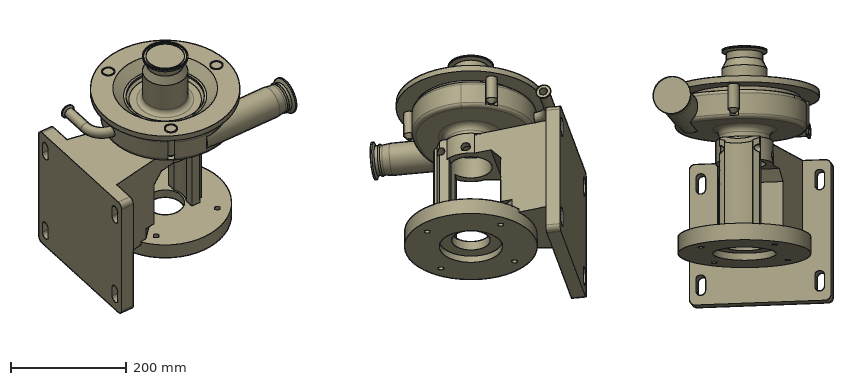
import cadquery as cq
import math


PLATE_SIZE = 250
PLATE_THICKNESS = 25
PLATE_CORNER_RADIUS = 10
PLATE_BACK_Y = -181
PLATE_FRONT_Y = PLATE_BACK_Y + PLATE_THICKNESS
SLOT_WIDTH = 17
SLOT_LENGTH = 36
SLOT_SPACING_X = 210
SLOT_SPACING_Z = 180

BASE_RADIUS = 115.5
BASE_BOTTOM_Z = 54
BASE_TOP_Z = 83.5
BASE_HOLE_RADIUS = 33.5
BASE_RECESS_RADIUS = 55
BASE_RECESS_DEPTH = 12.5
BASE_BOLT_RADIUS = 5
BASE_BOLT_CIRCLE_RADIUS = 92
BOLT_CLEARANCE_DEPTH = 20.5
BOLT_CLEARANCE_OUTER_X = 61
BOLT_CLEARANCE_HEIGHT = 21.5

HUB_RADIUS = 50
HUB_BORE_RADIUS = 37
HUB_BOTTOM_Z = 213
HUB_TOP_Z = 252.7
HUB_HOLE_RADIUS = 8
HUB_HOLE_Z = 226
WEB_PLATE_HALF_WIDTH = 75
WEB_HUB_HALF_WIDTH = 47.5
WEB_BOTTOM_Z = 77
WINDOW_FRONT_Y = -63.5
WINDOW_CHAMFER_Y = 18
WINDOW_CHAMFER_Z = 19.5
POST_INNER_Y = 32
POST_HALF_WIDTH = 35
POST_RADIUS = 60.5
RIB_HALF_WIDTH = 25
RIB_RADIUS = 65
POST_SLOPE_TOP_Y = 44.5
POST_SLOPE_BOTTOM_Z = 237
POST_HOLE_RADIUS = 7.3
POST_HOLE_Y = 47
POST_HOLE_Z = 230

CASING_BOTTOM_Z = 274
CASING_TOP_Z = 325
CASING_MID_Z = (CASING_BOTTOM_Z + CASING_TOP_Z) / 2
CASING_EDGE_RADIUS = 7
SPIRAL_START_RADIUS = 105
SPIRAL_STEP = 6
COLLAR_RADIUS = 97.4
NECK_RADIUS = 44.5
NECK_FILLET = 12

FLANGE_RADIUS = 130
FLANGE_TOP_Z = 342.5
FLANGE_THICKNESS = 11
FLANGE_BOTTOM_Z = FLANGE_TOP_Z - FLANGE_THICKNESS
DISH_TOP_RADIUS = 91
DISH_CONE_END_RADIUS = 68
DISH_FLOOR_RADIUS = 63
DISH_DEPTH = 25.5
DISH_CONE_DEPTH = 21.5
PIN_CIRCLE_RADIUS = 109
PIN_COUNT = 3
PIN_RADIUS = 10
PIN_SHOULDER_Z = 288.5
PIN_TIP_Z = 280.5
PIN_TIP_RADIUS = 3
PIN_POCKET_RADIUS = 10.5
PIN_POCKET_BOTTOM_Z = 279
PIN_RING_OUTER_RADIUS = 11.5
PIN_RING_DEPTH = 1

INLET_RADIUS = 39.5
INLET_NECK_RADIUS = 32
INLET_FILLET = 10
INLET_CONE_BOTTOM_Z = 381.5
INLET_CONE_TOP_Z = 396.5
INLET_TOP_Z = 415.5
INLET_RIM_RADIUS = 39.5
INLET_RIM_THICKNESS = 3
INLET_RIM_TAPER = 3
GASKET_INNER_RADIUS = 33.5
GASKET_OUTER_RADIUS = 37.5
GASKET_DEPTH = 1.5

OUTLET_X = 94.8
OUTLET_RADIUS = 28.3
OUTLET_START_Y = 3
OUTLET_END_Y = 190
OUTLET_NECK_RADIUS = 26.5
OUTLET_CONE_START_Y = 157
OUTLET_CONE_END_Y = 170.5
OUTLET_BEAD_Y = 176.5
OUTLET_BEAD_RADIUS = 1.8
OUTLET_RIM_RADIUS = 33
OUTLET_RIM_THICKNESS = 3
OUTLET_RIM_TAPER = 3

DRAIN_RADIUS = 9.6
DRAIN_BORE_RADIUS = 7
DRAIN_Y = -145
DRAIN_BEND_RADIUS = 35
DRAIN_END_X = -89.3
DRAIN_RIM_RADIUS = 12.8
DRAIN_RIM_THICKNESS = 2.5
DRAIN_RIM_TAPER = 3
DRAIN_ROOT_Y = -100


def cylinder(radius, bottom_z, top_z, x=0, y=0):
    """Upright cylinder between two heights."""
    return cq.Workplane("XY", origin=(x, y, bottom_z)).circle(radius).extrude(top_z - bottom_z)


def box(x_min, x_max, y_min, y_max, z_min, z_max):
    """Block given by its limits along each axis."""
    size = (x_max - x_min, y_max - y_min, z_max - z_min)
    return cq.Workplane("XY", origin=(x_min, y_min, z_min)).box(*size, centered=False)


def cross_cylinder(radius, x_min, x_max, y, z):
    """Cylinder lying along X."""
    return cq.Workplane("YZ", origin=(x_min, y, z)).circle(radius).extrude(x_max - x_min)


def ring(outer_radius, inner_radius, bottom_z, top_z, x=0, y=0):
    """Upright tube between two heights."""
    outer = cylinder(outer_radius, bottom_z, top_z, x, y)
    return outer.cut(cylinder(inner_radius, bottom_z, top_z, x, y))


def pin_positions():
    """Centres of the cover pins, one of them on +Y."""
    angles = [math.radians(90 + 360 / PIN_COUNT * i) for i in range(PIN_COUNT)]
    return [(PIN_CIRCLE_RADIUS * math.cos(a), PIN_CIRCLE_RADIUS * math.sin(a)) for a in angles]


def make_plate():
    middle_z = PLATE_SIZE / 2
    plane = cq.Workplane("XZ", origin=(0, PLATE_FRONT_Y, middle_z))
    plate = plane.rect(PLATE_SIZE, PLATE_SIZE).extrude(PLATE_THICKNESS)
    plate = plate.edges("|Y").fillet(PLATE_CORNER_RADIUS)
    slots = plane.rect(SLOT_SPACING_X, SLOT_SPACING_Z, forConstruction=True).vertices()
    return plate.cut(slots.slot2D(SLOT_LENGTH, SLOT_WIDTH, 90).extrude(PLATE_THICKNESS))


def bolt_clearance(side):
    """45 degree corner cut that frees a base bolt beside the web, on the -X or +X side."""
    reach = WEB_PLATE_HALF_WIDTH
    back_y = WINDOW_FRONT_Y - BOLT_CLEARANCE_DEPTH
    inner_x = BOLT_CLEARANCE_OUTER_X - BOLT_CLEARANCE_DEPTH
    return (
        cq.Workplane("XY", origin=(0, 0, BASE_TOP_Z))
        .moveTo(side * inner_x, WINDOW_FRONT_Y)
        .lineTo(side * BOLT_CLEARANCE_OUTER_X, back_y)
        .lineTo(side * reach, back_y)
        .lineTo(side * reach, WINDOW_FRONT_Y)
        .close()
        .extrude(BOLT_CLEARANCE_HEIGHT)
    )


def make_web():
    """Tapered block joining the plate to the hub, with the front of the window cut away."""
    hub_y = -math.sqrt(HUB_RADIUS**2 - WEB_HUB_HALF_WIDTH**2)
    web = (
        cq.Workplane("XY", origin=(0, 0, WEB_BOTTOM_Z))
        .moveTo(-WEB_PLATE_HALF_WIDTH, PLATE_FRONT_Y)
        .lineTo(WEB_PLATE_HALF_WIDTH, PLATE_FRONT_Y)
        .lineTo(WEB_HUB_HALF_WIDTH, hub_y)
        .lineTo(-WEB_HUB_HALF_WIDTH, hub_y)
        .close()
        .extrude(PLATE_SIZE - WEB_BOTTOM_Z)
    )
    window = (
        cq.Workplane("YZ")
        .moveTo(WINDOW_FRONT_Y, WEB_BOTTOM_Z)
        .lineTo(WINDOW_FRONT_Y, HUB_BOTTOM_Z - WINDOW_CHAMFER_Z)
        .lineTo(WINDOW_FRONT_Y + WINDOW_CHAMFER_Y, HUB_BOTTOM_Z)
        .lineTo(0, HUB_BOTTOM_Z)
        .lineTo(0, WEB_BOTTOM_Z)
        .close()
        .extrude(WEB_PLATE_HALF_WIDTH, both=True)
    )
    web = web.cut(window)
    for side in (-1, 1):
        web = web.cut(bolt_clearance(side))
    return web


def make_post():
    """Rear post with a raised central rib and a sloping top."""
    wide = cylinder(POST_RADIUS, BASE_TOP_Z, HUB_TOP_Z).intersect(
        box(-POST_HALF_WIDTH, POST_HALF_WIDTH, POST_INNER_Y, RIB_RADIUS, BASE_TOP_Z, HUB_TOP_Z)
    )
    rib = cylinder(RIB_RADIUS, BASE_TOP_Z, HUB_TOP_Z).intersect(
        box(-RIB_HALF_WIDTH, RIB_HALF_WIDTH, POST_INNER_Y, RIB_RADIUS, BASE_TOP_Z, HUB_TOP_Z)
    )
    slope = (
        cq.Workplane("YZ")
        .moveTo(POST_SLOPE_TOP_Y, HUB_TOP_Z)
        .lineTo(RIB_RADIUS, HUB_TOP_Z)
        .lineTo(RIB_RADIUS, POST_SLOPE_BOTTOM_Z)
        .close()
        .extrude(POST_HALF_WIDTH, both=True)
    )
    return wide.union(rib).cut(slope)


def make_bracket():
    """Plate, web, hub, rear post and base ring."""
    hub = cylinder(HUB_RADIUS, HUB_BOTTOM_Z, HUB_TOP_Z)
    upper = make_web().union(hub).union(make_post())
    upper = upper.cut(cylinder(HUB_BORE_RADIUS, BASE_TOP_Z, HUB_TOP_Z))
    upper = upper.cut(cross_cylinder(HUB_HOLE_RADIUS, -HUB_RADIUS, 0, 0, HUB_HOLE_Z))
    post_hole = cross_cylinder(
        POST_HOLE_RADIUS, -POST_HALF_WIDTH, POST_HALF_WIDTH, POST_HOLE_Y, POST_HOLE_Z
    )
    upper = upper.cut(post_hole)

    base = cylinder(BASE_RADIUS, BASE_BOTTOM_Z, BASE_TOP_Z)
    bracket = make_plate().union(upper).union(base)
    bracket = bracket.cut(cylinder(BASE_HOLE_RADIUS, BASE_BOTTOM_Z, BASE_TOP_Z))
    recess_top_z = BASE_BOTTOM_Z + BASE_RECESS_DEPTH
    bracket = bracket.cut(cylinder(BASE_RECESS_RADIUS, BASE_BOTTOM_Z, recess_top_z))

    bolt_offset = BASE_BOLT_CIRCLE_RADIUS / math.sqrt(2)
    for x in (-bolt_offset, bolt_offset):
        for y in (-bolt_offset, bolt_offset):
            bracket = bracket.cut(cylinder(BASE_BOLT_RADIUS, BASE_BOTTOM_Z, BASE_TOP_Z, x, y))
    return bracket


def make_casing():
    """Volute whose outline is a spiral of quarter arcs, growing from +Y round to +X and closed by a curve."""
    half_step = SPIRAL_STEP / 2
    diagonal = math.sqrt(0.5)
    radius_1 = SPIRAL_START_RADIUS
    radius_2 = radius_1 + SPIRAL_STEP
    radius_3 = radius_2 + SPIRAL_STEP
    start = (-half_step, radius_1 - half_step)
    casing = (
        cq.Workplane("XY", origin=(0, 0, CASING_BOTTOM_Z))
        .moveTo(*start)
        .threePointArc(
            (-half_step - radius_1 * diagonal, -half_step + radius_1 * diagonal),
            (-half_step - radius_1, -half_step),
        )
        .threePointArc(
            (half_step - radius_2 * diagonal, -half_step - radius_2 * diagonal),
            (half_step, -half_step - radius_2),
        )
        .threePointArc(
            (half_step + radius_3 * diagonal, half_step - radius_3 * diagonal),
            (half_step + radius_3, half_step),
        )
        .spline([start], tangents=[(0, 1), (-1, 0)], includeCurrent=True)
        .close()
        .extrude(CASING_TOP_Z - CASING_BOTTOM_Z)
    )
    return casing.faces("<Z or >Z").edges().fillet(CASING_EDGE_RADIUS)


def make_neck():
    """Neck under the casing, flaring into it with a concave round."""
    flare_radius = NECK_RADIUS + NECK_FILLET
    flare_bottom_z = CASING_BOTTOM_Z - NECK_FILLET
    arc_offset = NECK_FILLET * (1 - math.sqrt(0.5))
    return (
        cq.Workplane("XZ")
        .moveTo(0, HUB_TOP_Z)
        .lineTo(NECK_RADIUS, HUB_TOP_Z)
        .lineTo(NECK_RADIUS, flare_bottom_z)
        .threePointArc(
            (NECK_RADIUS + arc_offset, CASING_BOTTOM_Z - arc_offset),
            (flare_radius, CASING_BOTTOM_Z),
        )
        .lineTo(0, CASING_BOTTOM_Z)
        .close()
        .revolve(360, (0, 0, 0), (0, 1, 0))
    )


def make_cover():
    """Flange and collar with the dished top, and the inlet rising from the dish floor."""
    floor_z = FLANGE_TOP_Z - DISH_DEPTH
    floor_arc_offset = INLET_FILLET * (1 - math.sqrt(0.5))
    rim_bottom_z = INLET_TOP_Z - INLET_RIM_THICKNESS
    return (
        cq.Workplane("XZ")
        .moveTo(0, CASING_MID_Z)
        .lineTo(COLLAR_RADIUS, CASING_MID_Z)
        .lineTo(COLLAR_RADIUS, FLANGE_BOTTOM_Z)
        .lineTo(FLANGE_RADIUS, FLANGE_BOTTOM_Z)
        .lineTo(FLANGE_RADIUS, FLANGE_TOP_Z)
        .lineTo(DISH_TOP_RADIUS, FLANGE_TOP_Z)
        .lineTo(DISH_CONE_END_RADIUS, FLANGE_TOP_Z - DISH_CONE_DEPTH)
        .lineTo(DISH_FLOOR_RADIUS, floor_z)
        .lineTo(INLET_RADIUS + INLET_FILLET, floor_z)
        .threePointArc(
            (INLET_RADIUS + floor_arc_offset, floor_z + floor_arc_offset),
            (INLET_RADIUS, floor_z + INLET_FILLET),
        )
        .lineTo(INLET_RADIUS, INLET_CONE_BOTTOM_Z)
        .lineTo(INLET_NECK_RADIUS, INLET_CONE_TOP_Z)
        .lineTo(INLET_NECK_RADIUS, rim_bottom_z - INLET_RIM_TAPER)
        .lineTo(INLET_RIM_RADIUS, rim_bottom_z)
        .lineTo(INLET_RIM_RADIUS, INLET_TOP_Z)
        .lineTo(0, INLET_TOP_Z)
        .close()
        .revolve(360, (0, 0, 0), (0, 1, 0))
    )


def make_pin(x, y):
    """Pin hanging from the flange, with a blunt conical tip."""
    return (
        cq.Workplane("XZ", origin=(x, y, 0))
        .moveTo(0, FLANGE_TOP_Z)
        .lineTo(PIN_RADIUS, FLANGE_TOP_Z)
        .lineTo(PIN_RADIUS, PIN_SHOULDER_Z)
        .lineTo(PIN_TIP_RADIUS, PIN_TIP_Z)
        .lineTo(0, PIN_TIP_Z)
        .close()
        .revolve(360, (0, 0, 0), (0, 1, 0))
    )


def make_outlet():
    """Outlet tube along +Y with a stepped neck, a bead and a clamp rim."""
    rim_y = OUTLET_END_Y - OUTLET_RIM_THICKNESS
    outlet = (
        cq.Workplane("XY", origin=(OUTLET_X, 0, CASING_MID_Z))
        .moveTo(0, OUTLET_START_Y)
        .lineTo(OUTLET_RADIUS, OUTLET_START_Y)
        .lineTo(OUTLET_RADIUS, OUTLET_CONE_START_Y)
        .lineTo(OUTLET_NECK_RADIUS, OUTLET_CONE_END_Y)
        .lineTo(OUTLET_NECK_RADIUS, OUTLET_BEAD_Y - OUTLET_BEAD_RADIUS)
        .threePointArc(
            (OUTLET_NECK_RADIUS + OUTLET_BEAD_RADIUS, OUTLET_BEAD_Y),
            (OUTLET_NECK_RADIUS, OUTLET_BEAD_Y + OUTLET_BEAD_RADIUS),
        )
        .lineTo(OUTLET_NECK_RADIUS, rim_y - OUTLET_RIM_TAPER)
        .lineTo(OUTLET_RIM_RADIUS, rim_y)
        .lineTo(OUTLET_RIM_RADIUS, OUTLET_END_Y)
        .lineTo(0, OUTLET_END_Y)
        .close()
    )
    return outlet.revolve(360, (0, 0, 0), (0, 1, 0))


def drain_sweep(radius):
    """Round rod along the drain: straight in +X, a quarter bend, then straight in +Y."""
    bend_y = DRAIN_Y + DRAIN_BEND_RADIUS
    bend_offset = DRAIN_BEND_RADIUS * (1 - math.sqrt(0.5))
    path = (
        cq.Workplane("XY", origin=(0, 0, CASING_MID_Z))
        .moveTo(DRAIN_END_X, DRAIN_Y)
        .lineTo(-DRAIN_BEND_RADIUS, DRAIN_Y)
        .threePointArc((-bend_offset, DRAIN_Y + bend_offset), (0, bend_y))
        .lineTo(0, DRAIN_ROOT_Y)
    )
    return cq.Workplane("YZ", origin=(DRAIN_END_X, DRAIN_Y, CASING_MID_Z)).circle(radius).sweep(path)


def make_drain_rim():
    """Clamp rim on the free end of the drain."""
    rim_inner_x = DRAIN_END_X + DRAIN_RIM_THICKNESS
    return (
        cq.Workplane("XY", origin=(0, DRAIN_Y, CASING_MID_Z))
        .moveTo(DRAIN_END_X, 0)
        .lineTo(DRAIN_END_X, DRAIN_RIM_RADIUS)
        .lineTo(rim_inner_x, DRAIN_RIM_RADIUS)
        .lineTo(rim_inner_x + DRAIN_RIM_TAPER, DRAIN_RADIUS)
        .lineTo(rim_inner_x + DRAIN_RIM_TAPER, 0)
        .close()
        .revolve(360, (0, 0, 0), (1, 0, 0))
    )


def make_pump():
    """Casing opened for the cover and pins, then joined to cover, pins, neck, outlet and drain."""
    casing = make_casing()
    for x, y in pin_positions():
        casing = casing.cut(cylinder(PIN_POCKET_RADIUS, PIN_POCKET_BOTTOM_Z, CASING_TOP_Z, x, y))
    casing = casing.union(make_outlet())
    casing = casing.cut(cylinder(DISH_CONE_END_RADIUS, CASING_MID_Z, FLANGE_BOTTOM_Z))

    pump = casing.union(make_neck()).union(make_cover())
    for x, y in pin_positions():
        pump = pump.union(make_pin(x, y))
        groove_bottom_z = FLANGE_TOP_Z - PIN_RING_DEPTH
        pump = pump.cut(ring(PIN_RING_OUTER_RADIUS, PIN_RADIUS, groove_bottom_z, FLANGE_TOP_Z, x, y))
    gasket_bottom_z = INLET_TOP_Z - GASKET_DEPTH
    pump = pump.cut(ring(GASKET_OUTER_RADIUS, GASKET_INNER_RADIUS, gasket_bottom_z, INLET_TOP_Z))
    pump = pump.union(drain_sweep(DRAIN_RADIUS)).union(make_drain_rim())
    return pump.cut(drain_sweep(DRAIN_BORE_RADIUS))


result = make_bracket().union(make_pump())